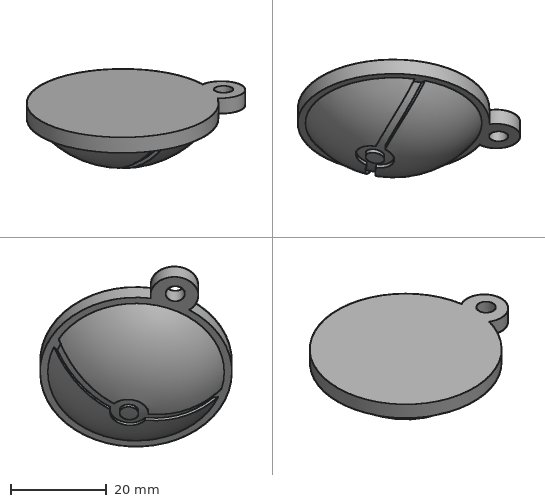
import cadquery as cq

disc_diameter = 40.0
disc_radius = disc_diameter / 2
overall_length = 47.0
overall_height = 12.95
plate_thickness = 3.5
lug_radius = 5.0
lug_center_y = overall_length - disc_radius - lug_radius
hole_diameter = 4.0
hole_center_y = 22.5

dome_rim_radius = 18.4
dome_depth = overall_height - plate_thickness
sphere_radius = (dome_rim_radius**2 + dome_depth**2) / (2 * dome_depth)
sphere_center_z = sphere_radius - dome_depth
embed_height = 0.95

groove_depth = 0.8
clearance = 0.45
band_width = 2.0
band_center_radius = 35.0
button_center_y = -4.0
button_radius = 1.97
ring_radius = 4.0


def vertical_cylinder(radius, center_y):
    """Cylinder reaching from inside the disc to beyond the dome."""
    base = cq.Workplane("XY").workplane(offset=-dome_depth - clearance).center(0, center_y)
    return base.circle(radius).extrude(dome_depth + clearance + embed_height)


def spherical_cap(radius):
    """Lower cap of a ball about the dome centre, with its flat top inside the disc."""
    ball = cq.Workplane("XY").sphere(radius, direct=(0, 1, 0)).translate((0, 0, sphere_center_z))
    dome_space = (
        cq.Workplane("XY")
        .workplane(offset=embed_height)
        .rect(2 * disc_diameter, 2 * disc_diameter)
        .extrude(-dome_depth - embed_height - clearance)
    )
    return ball.intersect(dome_space)


def make_plate():
    disc = cq.Workplane("XY").circle(disc_radius).extrude(plate_thickness)
    lug = cq.Workplane("XY").center(0, lug_center_y).circle(lug_radius).extrude(plate_thickness)
    hole = cq.Workplane("XY").center(0, hole_center_y).circle(hole_diameter / 2).extrude(plate_thickness)
    return disc.union(lug).cut(hole)


def make_groove():
    """Arched band joined to a ring, cut through the full dome height."""
    band_center_y = button_center_y + band_center_radius
    band_outer = vertical_cylinder(band_center_radius + band_width / 2, band_center_y)
    band_inner = vertical_cylinder(band_center_radius - band_width / 2, band_center_y)
    band = band_outer.cut(band_inner)
    ring = vertical_cylinder(ring_radius, button_center_y)
    button = vertical_cylinder(button_radius, button_center_y)
    return band.union(ring).cut(button)


dome = spherical_cap(sphere_radius).cut(make_groove())
dome_core = spherical_cap(sphere_radius - groove_depth)
result = make_plate().union(dome).union(dome_core)